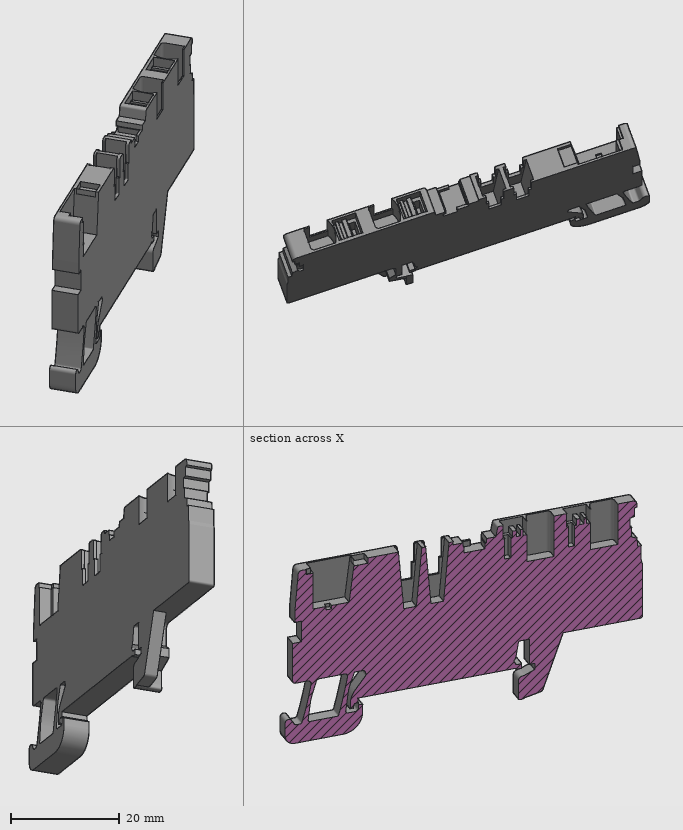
import cadquery as cq
import math

WIDTH = 5.1
LENGTH = 70.9
TOP = 37.65
DECK = 36.25
BODY_BOTTOM = 12.6
RAIL_SEAT = 7.0
SKIN = 0.4
EMBED = 0.3


def outline(corners):
    """Closed YZ wire; a corner is (y, z) or (y, z, rounding radius)."""
    stretches = []
    for i, corner in enumerate(corners):
        here = cq.Vector(corner[0], corner[1])
        if len(corner) == 2:
            stretches.append((here,))
            continue
        before = corners[i - 1]
        after = corners[(i + 1) % len(corners)]
        to_before = (cq.Vector(before[0], before[1]) - here).normalized()
        to_after = (cq.Vector(after[0], after[1]) - here).normalized()
        half_angle = to_before.getAngle(to_after) / 2
        radius = corner[2]
        trim = radius / math.tan(half_angle)
        bulge = radius / math.sin(half_angle) - radius
        bisector = (to_before + to_after).normalized()
        stretches.append((here + to_before * trim, here + bisector * bulge, here + to_after * trim))
    wire = cq.Workplane("YZ").moveTo(stretches[0][-1].x, stretches[0][-1].y)
    for stretch in stretches[1:] + stretches[:1]:
        wire = wire.lineTo(stretch[0].x, stretch[0].y)
        if len(stretch) == 3:
            middle, end = stretch[1:]
            wire = wire.threePointArc((middle.x, middle.y), (end.x, end.y))
    return wire.close()


def plate(corners, x_start=0.0, x_end=WIDTH):
    """Prism along X with the given YZ outline."""
    return outline(corners).extrude(x_end - x_start).translate((x_start, 0, 0))


def block(x_start, x_end, y_start, y_end, z_start, z_end):
    """Axis-aligned box between opposite corners."""
    size = (x_end - x_start, y_end - y_start, z_end - z_start)
    return cq.Workplane("XY").box(*size, centered=False).translate((x_start, y_start, z_start))


MARKER_SILL = 35.6
MARKER_WALL = 34.6
JUMPER_PITCH = 5.4
FIRST_JUMPER = 24.8
JUMPER_CENTERS = (FIRST_JUMPER, FIRST_JUMPER + JUMPER_PITCH)


def jumper_notch(y_center):
    """Corners of one stepped notch with rounded rims, in +Y order."""
    upper_half = 1.7
    lower_half = 1.2
    shoulder = 32.2
    floor = 28.8
    rim_radius = 0.4
    floor_radius = 0.2
    return [
        (y_center - upper_half, DECK, rim_radius), (y_center - upper_half, shoulder),
        (y_center - lower_half, shoulder), (y_center - lower_half, floor, floor_radius),
        (y_center + lower_half, floor, floor_radius), (y_center + lower_half, shoulder),
        (y_center + upper_half, shoulder), (y_center + upper_half, DECK, rim_radius),
    ]


def make_housing():
    latch_end = [
        (68.8, 30.15), (69.9, 29.65), (70.0, 28.0), (70.7, 27.95), (70.7, 24.9),
        (LENGTH, 24.1), (LENGTH, BODY_BOTTOM, 0.4),
    ]
    rail_seat = [
        (46.4, BODY_BOTTOM, 0.35), (45.8, 9.2), (45.4, 8.6, 0.2), (45.9, 7.9),
        (46.95, 7.9), (46.95, 6.8), (45.8, 6.8), (45.8, RAIL_SEAT),
    ]
    tongue = [
        (14.5, RAIL_SEAT), (14.6, 6.0), (13.8, 6.0), (13.55, 5.1), (12.9, 5.1),
        (12.9, 7.65, 4.25), (16.1, 11.7, 0.4), (15.75, BODY_BOTTOM, 0.35),
    ]
    hook_end = [
        (1.5, BODY_BOTTOM, 0.65), (1.5, 21.2), (3.25, 21.2), (3.25, 25.45), (1.9, 25.45),
        (1.9, 27.7), (2.6, DECK, 0.85),
    ]
    notches = [corner for y_center in JUMPER_CENTERS for corner in jumper_notch(y_center)]
    decks = [
        (33.4, DECK), (33.4, MARKER_SILL), (35.3, MARKER_SILL), (35.5, MARKER_WALL),
        (39.85, MARKER_WALL), (40.0, MARKER_SILL), (41.8, MARKER_SILL), (42.2, TOP, 0.4),
    ]
    latch_end_top = [
        (69.9, TOP, 0.9), (69.9, DECK), (69.4, 36.0), (69.4, 34.25), (68.5, 34.1), (68.5, 32.1), (68.8, 32.1),
    ]
    return plate(latch_end + rail_seat + tongue + hook_end + notches + decks + latch_end_top)


def make_end_recess():
    """Shallow recess in the -X face at the upper latch end."""
    return plate([
        (69.9, 32.1), (67.7, 32.1), (67.7, 29.2, 0.35), (68.4, 29.2, 0.35), (68.9, 30.2), (69.9, 30.2),
    ], x_end=SKIN)


GUSSET_SIDE = WIDTH / 2


def make_latch_foot():
    root = BODY_BOTTOM + EMBED
    arm = plate([
        (48.45, root), (48.45, 7.3), (49.5, 7.3), (49.5, 6.1), (47.5, 5.3),
        (46.25, 5.1, 1.0), (46.25, 0.2, 0.4), (47.75, 0.35, 0.35), (47.5, 1.35), (47.5, 4.2),
        (50.9, 5.6), (50.9, 7.4), (49.65, 8.3),
        (49.65, BODY_BOTTOM, 1.2), (51.4, BODY_BOTTOM), (51.4, root),
    ])
    gusset = plate([
        (55.7, root), (55.2, BODY_BOTTOM), (51.1, 1.2, 0.7), (47.2, 0.4), (47.2, 5.0),
        (50.3, 6.1), (50.3, 7.4), (49.1, 8.3), (49.1, root),
    ], x_start=GUSSET_SIDE)
    return arm.union(gusset)


def make_hook_foot():
    root = BODY_BOTTOM + EMBED
    frame = plate([
        (14.2, root), (13.8, BODY_BOTTOM), (12.7, 9.5, 8.5), (12.05, 4.4, 0.35), (14.5, 4.4, 0.6),
        (14.6, 5.8), (15.45, 5.5), (15.45, 0.0, 4.0), (0.0, 0.0, 2.0), (0.0, 5.4, 0.7), (1.1, 5.4, 0.7),
        (2.0, 4.0, 0.4), (3.25, 4.0, 0.4), (4.4, 7.8, 63.85), (5.2, 12.1), (4.75, BODY_BOTTOM), (4.75, root),
    ])
    window = plate([
        (12.5, BODY_BOTTOM, 0.5), (11.7, 8.5, 106.4), (10.6, 4.1, 0.3), (4.6, 4.1, 0.3), (5.2, 8.7, 10.65),
        (6.4, BODY_BOTTOM, 0.6),
    ])
    return frame.cut(window)


ENTRY_PITCH = 12.6
ENTRY_COUNT = 2
FIRST_TOOL_POCKET = 66.0
ENTRY_SETBACK = 5.45


def make_tool_pocket(y_edge):
    """Screwdriver pocket with a scooped -Y end, open through the thin +X wall near the top."""
    length = 4.6
    scoop = 0.7
    depth = 8.5
    opening_depth = 5.7
    corner = 0.65
    wall_return = 1.1
    outer_thickness = 0.3
    far_wall = WIDTH - outer_thickness
    y_side = y_edge - length
    middle = (SKIN + WIDTH) / 2
    pocket = (
        cq.Workplane("XY", origin=(0, 0, TOP - depth))
        .moveTo(SKIN, y_side)
        .threePointArc((middle, y_side - scoop), (WIDTH, y_side))
        .lineTo(WIDTH, y_edge)
        .lineTo(SKIN + corner, y_edge)
        .radiusArc((SKIN, y_edge - corner), -corner)
        .close()
        .extrude(depth)
    )
    outer_wall = block(far_wall, WIDTH, y_side - scoop, y_edge, TOP - depth, TOP)
    opening = block(far_wall, WIDTH, y_side - scoop, y_edge - wall_return, TOP - opening_depth, TOP)
    return pocket.cut(outer_wall.cut(opening))


def make_wire_entry(y_edge):
    """Rectangular wire opening with two clamp bars across it and a narrower funnel below."""
    x_start = 0.65
    x_end = 4.7
    length = 4.6
    depth = 2.85
    bar_drop = 1.55
    bars = ((0.65, 0.6), (1.9, 0.85))
    funnel_inset = 0.7
    funnel_margin = 0.35
    funnel_length = 1.1
    funnel_depth = 7.1
    y_start = y_edge - length
    floor = TOP - depth
    entry = block(x_start, x_end, y_start, y_edge, floor, TOP)
    for offset, bar_width in bars:
        bar_end = y_edge - offset
        entry = entry.cut(block(x_start, x_end, bar_end - bar_width, bar_end, floor, TOP - bar_drop))
    funnel_start = y_start + funnel_margin
    funnel = block(x_start + funnel_inset, x_end - funnel_inset, funnel_start, funnel_start + funnel_length,
                   TOP - funnel_depth, floor)
    return entry.union(funnel)


def make_marker_seat():
    """Seat floor with the -X wall kept on one half and the +X wall on the other."""
    floor = 33.5
    rear = 39.65
    front = 35.6
    middle = 37.6
    undercut = 40.35
    undercut_radius = 0.35
    wall = 0.5
    seat = block(wall, WIDTH - wall, front, rear, floor, TOP)
    minus_x_gap = plate([
        (undercut, floor, undercut_radius), (undercut, MARKER_WALL, undercut_radius),
        (middle, MARKER_WALL), (middle, floor),
    ], x_end=wall)
    plus_x_gap = block(WIDTH - wall, WIDTH, front, middle, floor, MARKER_WALL)
    return seat.union(minus_x_gap).union(plus_x_gap)


def make_jumper_pocket(y_center):
    """Tapered pocket between the side walls, below and beyond the jumper notch."""
    floor = 24.1
    top_half = 2.3
    floor_half = 1.2
    far_wall = 0.65
    return plate([
        (y_center - top_half, DECK), (y_center - floor_half, floor),
        (y_center + floor_half, floor), (y_center + top_half, DECK),
    ], x_start=SKIN, x_end=WIDTH - far_wall)


def make_deck_pocket():
    """Deep pocket open on the +X side, with a shallow landing, a stepped end and a floor slot."""
    landing_left = 0.8
    landing_right = 4.55
    landing_rear = 16.4
    rear = 13.75
    rear_floor = 12.7
    front = 5.6
    floor = 27.65
    landing_drop = 1.1
    ledge_drop = 1.05
    near_ledge_front = 5.1
    far_ledge_front = 4.25
    far_step_front = 4.7
    ledge_split = 2.85
    ledge_rim = 0.35
    slot_left, slot_right = 1.7, 3.75
    slot_front, slot_rear = 8.15, 9.2
    slot_depth = 0.7
    pocket = plate([(rear, DECK), (rear_floor, floor), (front, floor), (front, DECK)], x_start=SKIN)
    landing = block(landing_left, landing_right, rear, landing_rear, DECK - landing_drop, DECK)
    near_ledge = block(SKIN, ledge_split, near_ledge_front, front, DECK - ledge_drop, DECK)
    far_step = block(ledge_split, WIDTH, far_step_front, front, floor, DECK)
    far_ledge = block(ledge_split - ledge_rim, WIDTH, far_ledge_front, front, DECK - ledge_drop, DECK)
    floor_slot = block(slot_left, slot_right, slot_front, slot_rear, floor - slot_depth, floor)
    cutter = pocket
    for step in (landing, near_ledge, far_step, far_ledge, floor_slot):
        cutter = cutter.union(step)
    return cutter


result = make_housing().union(make_latch_foot()).union(make_hook_foot())
result = result.cut(make_end_recess())
for i in range(ENTRY_COUNT):
    tool_pocket_edge = FIRST_TOOL_POCKET - i * ENTRY_PITCH
    result = result.cut(make_tool_pocket(tool_pocket_edge))
    result = result.cut(make_wire_entry(tool_pocket_edge - ENTRY_SETBACK))
result = result.cut(make_marker_seat())
for y_center in JUMPER_CENTERS:
    result = result.cut(make_jumper_pocket(y_center))
result = result.cut(make_deck_pocket())